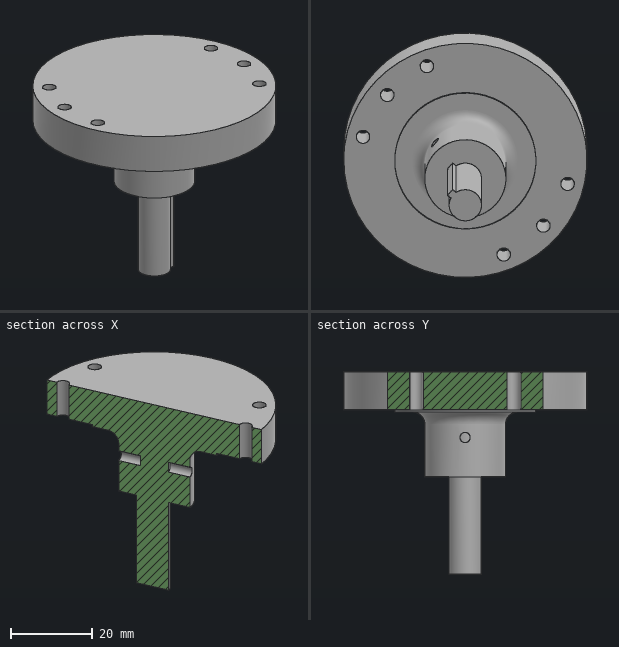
import cadquery as cq

disc_diameter = 60.0
disc_thickness = 9.5

pad_diameter = 34.8
pad_bottom = 10.0

hub_diameter = 20.0
hub_bottom = 26.0
hub_fillet = 3.0

shaft_diameter = 8.0
shaft_bottom = 50.0
key_width = 2.0
key_reach = 5.0

screw_hole_diameter = 3.3
side_hole_x = 12.0
side_hole_y = 23.0
middle_hole_y = 25.5

cross_hole_diameter = 2.5
cross_hole_drop = 16.25


def make_flanged_hub():
    """Revolve the half outline of the disc, pad and hub about Z."""
    disc_radius = disc_diameter / 2
    pad_radius = pad_diameter / 2
    hub_radius = hub_diameter / 2
    outline = (
        cq.Workplane("XZ")
        .lineTo(disc_radius, 0)
        .lineTo(disc_radius, -disc_thickness)
        .lineTo(pad_radius, -disc_thickness)
        .lineTo(pad_radius, -pad_bottom)
        .lineTo(hub_radius + hub_fillet, -pad_bottom)
        .radiusArc((hub_radius, -pad_bottom - hub_fillet), -hub_fillet)
        .lineTo(hub_radius, -hub_bottom)
        .lineTo(0, -hub_bottom)
        .close()
    )
    return outline.revolve(360, (0, 0, 0), (0, 1, 0))


def make_shaft():
    """Round shaft from the underside of the pad down to the end of the part."""
    return (
        cq.Workplane("XY", origin=(0, 0, -shaft_bottom))
        .circle(shaft_diameter / 2)
        .extrude(shaft_bottom - pad_bottom)
    )


def make_key():
    """Straight bar from the shaft axis out to the key's outer face."""
    return (
        cq.Workplane("XY", origin=(0, 0, -shaft_bottom))
        .center(0, key_reach / 2)
        .rect(key_width, key_reach)
        .extrude(shaft_bottom - hub_bottom)
    )


def make_screw_holes():
    """Cutters for three holes near each end of the disc's Y diameter."""
    centres = []
    for side in (-1, 1):
        centres.append((-side_hole_x, side * side_hole_y))
        centres.append((0, side * middle_hole_y))
        centres.append((side_hole_x, side * side_hole_y))
    return cq.Workplane("XY").pushPoints(centres).circle(screw_hole_diameter / 2).extrude(-disc_thickness)


def make_cross_hole():
    """Cutter along Y across the full width of the hub."""
    return (
        cq.Workplane("XZ", origin=(0, 0, -cross_hole_drop))
        .circle(cross_hole_diameter / 2)
        .extrude(hub_diameter / 2, both=True)
    )


hub = make_flanged_hub().cut(make_screw_holes()).cut(make_cross_hole())
result = hub.union(make_shaft()).union(make_key())